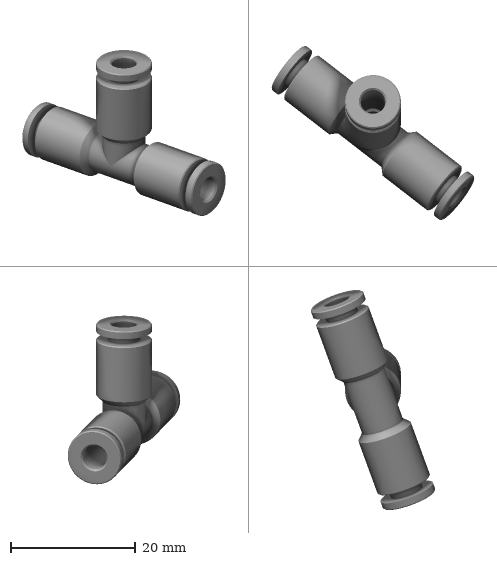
import cadquery as cq

port_reach = 17.5
body_diameter = 9.0
hub_diameter = 7.0
neck_diameter = 5.4
socket_diameter = 4.0
mouth_diameter = 4.55
bore_diameter = 3.0

cone_start = 4.6
body_start = 5.6
body_end = 14.9
collar_start = 16.25
tube_stop = 7.0

edge_chamfer = 0.18
mouth_depth = 0.28

body_radius = body_diameter / 2
hub_radius = hub_diameter / 2
neck_radius = neck_diameter / 2
socket_radius = socket_diameter / 2
mouth_radius = mouth_diameter / 2
rim_radius = body_radius - edge_chamfer


def revolve_about_z(points):
    """Revolve a closed (radius, height) outline about the Z axis."""
    return cq.Workplane("XZ").polyline(points).close().revolve(360, (0, 0), (0, 1))


def aim_ports(upright):
    """Return the upright shape and its copies turned toward -X and +X."""
    return [upright.rotate((0, 0, 0), (0, 1, 0), angle) for angle in (-90, 0, 90)]


port = revolve_about_z([
    (0, 0),
    (hub_radius, 0),
    (hub_radius, cone_start),
    (body_radius, body_start),
    (body_radius, body_end - edge_chamfer),
    (rim_radius, body_end),
    (neck_radius, body_end),
    (neck_radius, collar_start),
    (body_radius, collar_start),
    (body_radius, port_reach - edge_chamfer),
    (rim_radius, port_reach),
    (0, port_reach),
])

passage = revolve_about_z([
    (0, 0),
    (bore_diameter / 2, 0),
    (bore_diameter / 2, tube_stop),
    (socket_radius, tube_stop),
    (socket_radius, port_reach - mouth_depth),
    (mouth_radius, port_reach),
    (0, port_reach),
])

result = cq.Workplane("XY")
for solid_port in aim_ports(port):
    result = result.union(solid_port)
for open_passage in aim_ports(passage):
    result = result.cut(open_passage)